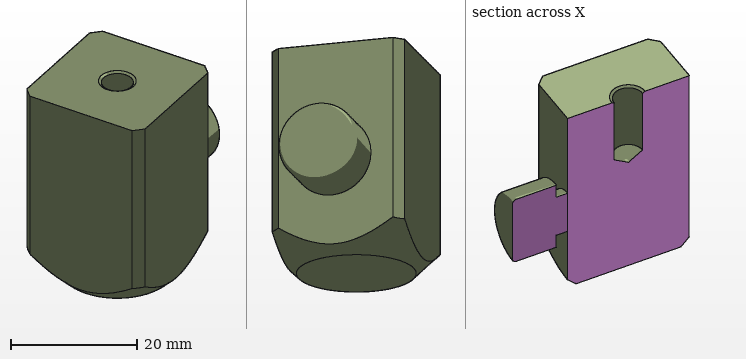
import cadquery as cq
import math

block_width = 22.0
block_height = 35.0
edge_chamfer = 1.5

hole_diameter = 5.08
hole_mouth_diameter = 6.0
hole_depth = 12.0
drill_tip_angle = 118.0
countersink_angle = 120.0

screw_height = 15.5
head_diameter = 13.0
head_length = 7.98
head_fillet = 0.8
neck_diameter = 8.0
neck_length = 2.0

half_width = block_width / 2


def make_foot_envelope():
    """Round body, wider than the block, whose lower end is a 45 degree cone."""
    foot_radius = half_width - edge_chamfer
    outer_radius = block_width
    cone_height = outer_radius - foot_radius
    return (
        cq.Workplane("XZ")
        .moveTo(0, 0)
        .lineTo(foot_radius, 0)
        .lineTo(outer_radius, cone_height)
        .lineTo(outer_radius, block_height)
        .lineTo(0, block_height)
        .close()
        .revolve(360, (0, 0, 0), (0, 1, 0))
    )


def make_top_hole():
    """Countersunk blind hole with a drill-point bottom, as a solid to cut away."""
    radius = hole_diameter / 2
    mouth_radius = hole_mouth_diameter / 2
    countersink_depth = (mouth_radius - radius) / math.tan(math.radians(countersink_angle / 2))
    tip_length = radius / math.tan(math.radians(drill_tip_angle / 2))
    hole_bottom = block_height - hole_depth
    return (
        cq.Workplane("XZ")
        .moveTo(0, block_height)
        .lineTo(mouth_radius, block_height)
        .lineTo(radius, block_height - countersink_depth)
        .lineTo(radius, hole_bottom)
        .lineTo(0, hole_bottom - tip_length)
        .close()
        .revolve(360, (0, 0, 0), (0, 1, 0))
    )


def make_block():
    bar = (
        cq.Workplane("XY")
        .rect(block_width, block_width)
        .extrude(block_height)
        .edges("|Z")
        .chamfer(edge_chamfer)
    )
    return bar.intersect(make_foot_envelope()).cut(make_top_hole())


def make_screw():
    """Neck and rounded head along +Y, with the neck seated on the block's back face."""
    back_face = cq.Plane(origin=(0, half_width, screw_height), xDir=(1, 0, 0), normal=(0, 1, 0))
    neck = cq.Workplane(back_face).circle(neck_diameter / 2).extrude(neck_length)
    head = (
        cq.Workplane(back_face)
        .workplane(offset=neck_length)
        .circle(head_diameter / 2)
        .extrude(head_length)
        .faces(">Y")
        .edges()
        .fillet(head_fillet)
    )
    return neck.union(head)


block = make_block()
screw = make_screw()

result = cq.Compound.makeCompound([block.val(), screw.val()])